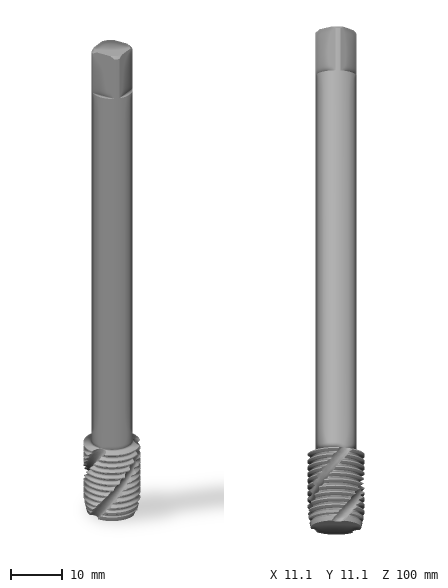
import cadquery as cq
import math

total_length = 100.0
head_length = 15.0

shank_diameter = 8.0
drive_width = 6.3
drive_length = 9.0
drive_end_chamfer = 0.5

head_diameter = 11.1
toothed_span = 12.7
pitches_in_span = 10
pitch = toothed_span / pitches_in_span
tooth_angle = 60.0
tooth_depth = 0.7
crest_width = 0.2
top_crest_height = 14.5
head_radius = head_diameter / 2
root_radius = head_radius - tooth_depth
top_land_radius = 4.3
flank_rise = tooth_depth * math.tan(math.radians(tooth_angle / 2))
root_half_width = crest_width / 2 + flank_rise

lead_length = 2.8
lead_end_radius = 4.9

flute_count = 3
flute_radius = 1.4
flute_center_radius = 5.5
helix_angle = 42.5
flute_angle_at_top = 275.0
flute_lead = math.pi * head_diameter / math.tan(math.radians(helix_angle))

overrun = 1.0


def make_shank():
    """Round shank standing on the head, with its top end milled to a square."""
    shank_length = total_length - head_length
    shank = (
        cq.Workplane("XY", origin=(0, 0, head_length))
        .circle(shank_diameter / 2)
        .extrude(shank_length)
        .faces(">Z")
        .chamfer(drive_end_chamfer)
    )
    drive_waste = (
        cq.Workplane("XY", origin=(0, 0, total_length - drive_length))
        .circle(shank_diameter)
        .rect(drive_width, drive_width)
        .extrude(drive_length)
    )
    return shank.cut(drive_waste)


def make_groove_waste(crest_height):
    """Ring cut away between the crest at this height and the next crest below."""
    upper = crest_height - crest_width / 2
    lower = crest_height - pitch + crest_width / 2
    return (
        cq.Workplane("XZ")
        .moveTo(head_radius, upper)
        .lineTo(root_radius, crest_height - root_half_width)
        .lineTo(root_radius, crest_height - pitch + root_half_width)
        .lineTo(head_radius, lower)
        .close()
        .revolve(360, (0, 0, 0), (0, 1, 0))
    )


def make_flute_cutter(position):
    """Round-bottomed helical cutter that runs the full height of the head."""
    cutter_length = head_length + 2 * overrun
    twist = 360 * cutter_length / flute_lead
    top_angle = flute_angle_at_top + position * 360 / flute_count
    start_angle = top_angle - 360 * (head_length + overrun) / flute_lead
    return (
        cq.Workplane("XY", origin=(0, 0, -overrun))
        .moveTo(
            flute_center_radius * math.cos(math.radians(start_angle)),
            flute_center_radius * math.sin(math.radians(start_angle)),
        )
        .circle(flute_radius)
        .twistExtrude(cutter_length, twist)
    )


def make_head():
    """Toothed head with a tapered lead and helical flutes."""
    head = (
        cq.Workplane("XZ")
        .lineTo(lead_end_radius, 0)
        .lineTo(head_radius, lead_length)
        .lineTo(head_radius, top_crest_height + crest_width / 2)
        .lineTo(top_land_radius, head_length)
        .lineTo(0, head_length)
        .close()
        .revolve(360, (0, 0, 0), (0, 1, 0))
    )
    groove_count = math.floor(top_crest_height / pitch)
    for groove in range(groove_count):
        head = head.cut(make_groove_waste(top_crest_height - groove * pitch))
    for position in range(flute_count):
        head = head.cut(make_flute_cutter(position))
    return head


shank = make_shank()
head = make_head()

result = cq.Compound.makeCompound([shank.val(), head.val()])